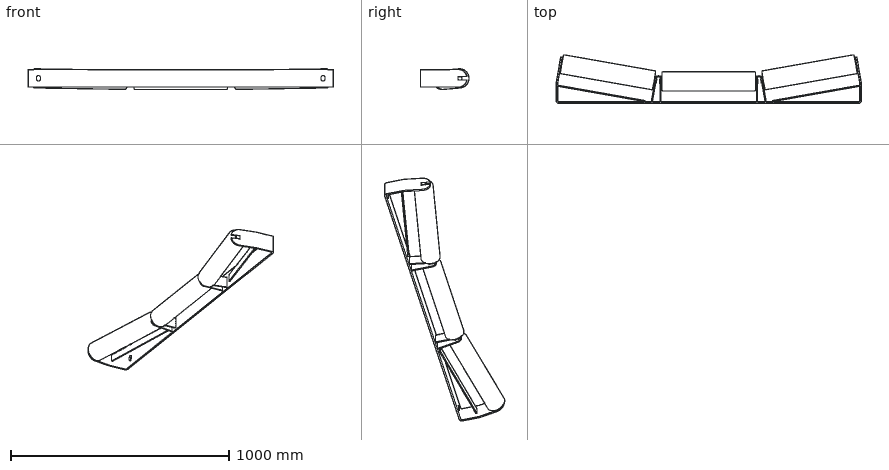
import cadquery as cq
import math


FRAME_LENGTH = 1400.0
STRAP_WIDTH = 80.0
STRAP_THICKNESS = 8.0
CORNER_RADIUS = 13.0
BEND_HEIGHT = 94.0
FRAME_HEIGHT = 214.0
MOUNTING_HOLE_WIDTH = 18.0
MOUNTING_HOLE_HEIGHT = 25.0
MOUNTING_HOLE_X = 652.0

ROLLER_OVERHANG = 4.6
ROLLER_DIAMETER = STRAP_WIDTH + 2 * ROLLER_OVERHANG
ROLLER_LENGTH = 430.0
ROLLER_EDGE_RADIUS = 5.0
END_GAP = 3.5
SHAFT_DIAMETER = 20.0
SHAFT_FLAT_WIDTH = 14.0
SLOT_WIDTH = 17.0
MIDDLE_ROLLER_Y = 101.0
MIDDLE_ROLLER_Z = -7.0

TROUGH_ANGLE = 10.0
SIDE_DROP_ANGLE = 0.9
WING_X = 462.0
WING_Y = 143.0
WING_Z = MIDDLE_ROLLER_Z / 2

BRACKET_HEIGHT = 127.0
BRACKET_WIDTH = 50.0
BRACKET_THICKNESS = 6.0
BRACKET_BEND_RADIUS = 7.0

BRACE_THICKNESS = 5.0
BRACE_WIDTH = 32.0
BRACE_TOP_HEIGHT = 84.0

HALF_LENGTH = FRAME_LENGTH / 2
SLANT = math.radians(TROUGH_ANGLE)
LEAN = math.tan(SLANT)
SHAFT_LENGTH = ROLLER_LENGTH + 2 * (END_GAP + STRAP_THICKNESS)
PLATE_DISTANCE = ROLLER_LENGTH / 2 + END_GAP + STRAP_THICKNESS / 2
SLOT_DEPTH = FRAME_HEIGHT
CUTTER_LENGTH = 2 * STRAP_THICKNESS


def mirrored(shape):
    """The same shape on the other side of the middle of the frame."""
    return shape.mirror("YZ")


def place_on_wing(shape):
    """Move a shape modelled along X about the origin onto the axis of the left wing."""
    return shape.rotate((0, 0, 0), (0, 0, 1), -TROUGH_ANGLE).translate((-WING_X, WING_Y, WING_Z))


def extrude_across(points, width):
    """A closed X-Y outline extruded symmetrically across the frame."""
    return cq.Workplane("XY").polyline(points).close().extrude(width / 2, both=True)


def shaft_slot(distance, height):
    """Cutter for a slot open at the top, around a shaft at a distance along its axis."""
    cutter = cq.Workplane("XY").box(CUTTER_LENGTH, SLOT_DEPTH, SLOT_WIDTH)
    return cutter.translate((distance, (SLOT_DEPTH - SHAFT_DIAMETER) / 2, height))


def wing_shaft_slot(distance):
    """Slot cutter for the left wing, following the side drop of the shaft."""
    height = -distance * math.tan(math.radians(SIDE_DROP_ANGLE))
    return place_on_wing(shaft_slot(distance, height))


def bar_along_x(diameter, length):
    """A round bar along X, centred on the origin."""
    return cq.Workplane("YZ", origin=(-length / 2, 0, 0)).circle(diameter / 2).extrude(length)


def make_roller():
    """A drum with rounded edges and a flatted shaft, along X about the origin."""
    drum = bar_along_x(ROLLER_DIAMETER, ROLLER_LENGTH)
    drum = drum.edges("%CIRCLE").fillet(ROLLER_EDGE_RADIUS)
    shaft = bar_along_x(SHAFT_DIAMETER, SHAFT_LENGTH)
    flats = cq.Workplane("XY").box(SHAFT_LENGTH, SHAFT_DIAMETER, SHAFT_FLAT_WIDTH)
    return drum.union(shaft.intersect(flats))


def make_middle_roller():
    """Level roller between the two brackets."""
    return make_roller().translate((0, MIDDLE_ROLLER_Y, MIDDLE_ROLLER_Z))


def make_left_wing_roller():
    """Roller raised at its outer end, its inner end dropped sideways."""
    dropped = make_roller().rotate((0, 0, 0), (0, 1, 0), SIDE_DROP_ANGLE)
    return place_on_wing(dropped)


def plate_tip_trimmer():
    """Cutter that leaves the tip of the left end plate as a full half round."""
    radius = STRAP_WIDTH / 2
    plate_y = WING_Y + PLATE_DISTANCE * math.sin(SLANT)
    center_y = (FRAME_HEIGHT - plate_y) / math.cos(SLANT) - radius
    block = cq.Workplane("XY").box(2 * CUTTER_LENGTH, STRAP_WIDTH, 2 * STRAP_WIDTH)
    block = block.translate((0, center_y + radius, 0))
    disc = bar_along_x(STRAP_WIDTH, 2 * CUTTER_LENGTH).translate((0, center_y, 0))
    return place_on_wing(block.cut(disc).translate((-PLATE_DISTANCE, 0, -WING_Z)))


def make_frame():
    """Base strap with two end legs that lean in square to the wings."""
    leaning_thickness = STRAP_THICKNESS / math.cos(SLANT)
    tip_outer_x = HALF_LENGTH - (FRAME_HEIGHT - BEND_HEIGHT) * LEAN
    inner_x = HALF_LENGTH - STRAP_THICKNESS
    inner_bend_height = BEND_HEIGHT - (leaning_thickness - STRAP_THICKNESS) / LEAN
    right_side = [
        (HALF_LENGTH, 0),
        (HALF_LENGTH, BEND_HEIGHT),
        (tip_outer_x, FRAME_HEIGHT),
        (tip_outer_x - leaning_thickness, FRAME_HEIGHT),
        (inner_x, inner_bend_height),
        (inner_x, STRAP_THICKNESS),
    ]
    left_side = [(-x, y) for x, y in reversed(right_side)]
    frame = extrude_across(right_side + left_side, STRAP_WIDTH)
    frame = frame.edges("|Z and <Y").fillet(CORNER_RADIUS)
    inner_corners = cq.selectors.BoxSelector(
        (-HALF_LENGTH, STRAP_THICKNESS / 2, -STRAP_WIDTH),
        (HALF_LENGTH, 2 * STRAP_THICKNESS, STRAP_WIDTH),
    )
    frame = frame.edges("|Z").edges(inner_corners).fillet(CORNER_RADIUS - STRAP_THICKNESS)

    for cutter in (plate_tip_trimmer(), wing_shaft_slot(-PLATE_DISTANCE)):
        frame = frame.cut(cutter).cut(mirrored(cutter))

    holes = (
        cq.Workplane("XZ")
        .pushPoints([(-MOUNTING_HOLE_X, 0), (MOUNTING_HOLE_X, 0)])
        .slot2D(MOUNTING_HOLE_HEIGHT, MOUNTING_HOLE_WIDTH, 90)
        .extrude(-STRAP_THICKNESS)
    )
    return frame.cut(holes)


def bracket_side_outline():
    """Bar along X with the bracket's outline in Y and Z: straight sides and a half-round top."""
    radius = BRACKET_WIDTH / 2
    shoulder = BRACKET_HEIGHT - radius
    return (
        cq.Workplane("YZ", origin=(-HALF_LENGTH, 0, 0))
        .moveTo(0, -radius)
        .lineTo(shoulder, -radius)
        .threePointArc((BRACKET_HEIGHT, 0), (shoulder, radius))
        .lineTo(0, radius)
        .close()
        .extrude(HALF_LENGTH)
        .translate((0, 0, MIDDLE_ROLLER_Z))
    )


def make_left_bracket():
    """Inverted U: one leg square to the left wing, the other upright beside the middle roller."""
    upright_x = -ROLLER_LENGTH / 2 - END_GAP
    leaning_thickness = BRACKET_THICKNESS / math.cos(SLANT)
    face_distance = ROLLER_LENGTH / 2 + END_GAP
    face_x = -WING_X + face_distance * math.cos(SLANT)
    face_y = WING_Y - face_distance * math.sin(SLANT)

    def leaning_x(height):
        return face_x + (height - face_y) * LEAN

    web_bottom = BRACKET_HEIGHT - BRACKET_THICKNESS
    bracket = extrude_across(
        [
            (leaning_x(STRAP_THICKNESS), STRAP_THICKNESS),
            (leaning_x(BRACKET_HEIGHT), BRACKET_HEIGHT),
            (upright_x, BRACKET_HEIGHT),
            (upright_x, STRAP_THICKNESS),
            (upright_x - BRACKET_THICKNESS, STRAP_THICKNESS),
            (upright_x - BRACKET_THICKNESS, web_bottom),
            (leaning_x(web_bottom) + leaning_thickness, web_bottom),
            (leaning_x(STRAP_THICKNESS) + leaning_thickness, STRAP_THICKNESS),
        ],
        BRACKET_WIDTH,
    ).translate((0, 0, MIDDLE_ROLLER_Z))
    bracket = bracket.faces(">Y").edges("|Z").fillet(BRACKET_BEND_RADIUS)
    bracket = bracket.intersect(bracket_side_outline())
    middle_slot = shaft_slot(-PLATE_DISTANCE, 0).translate((0, MIDDLE_ROLLER_Y, MIDDLE_ROLLER_Z))
    return bracket.cut(middle_slot).cut(wing_shaft_slot(PLATE_DISTANCE))


def make_left_brace():
    """Flat bar parallel to the wing, from the left leg down to a square-cut end on the base."""
    leg_x = -HALF_LENGTH + STRAP_THICKNESS
    leg_bottom_y = BRACE_TOP_HEIGHT - BRACE_THICKNESS / math.cos(SLANT)
    end_x_step = BRACE_THICKNESS * math.sin(SLANT)
    end_y_step = BRACE_THICKNESS * math.cos(SLANT)
    foot_x = leg_x + (leg_bottom_y - STRAP_THICKNESS) / LEAN
    return extrude_across(
        [
            (leg_x, BRACE_TOP_HEIGHT),
            (foot_x + end_x_step, STRAP_THICKNESS + end_y_step),
            (foot_x, STRAP_THICKNESS),
            (leg_x, leg_bottom_y),
        ],
        BRACE_WIDTH,
    )


frame = make_frame()
middle_roller = make_middle_roller()
wing_roller = make_left_wing_roller()
bracket = make_left_bracket()
brace = make_left_brace()

bodies = [*frame.solids().vals(), *middle_roller.solids().vals()]
for left_body in (wing_roller, bracket, brace):
    for body in (left_body, mirrored(left_body)):
        bodies += body.solids().vals()

result = cq.Compound.makeCompound(bodies)